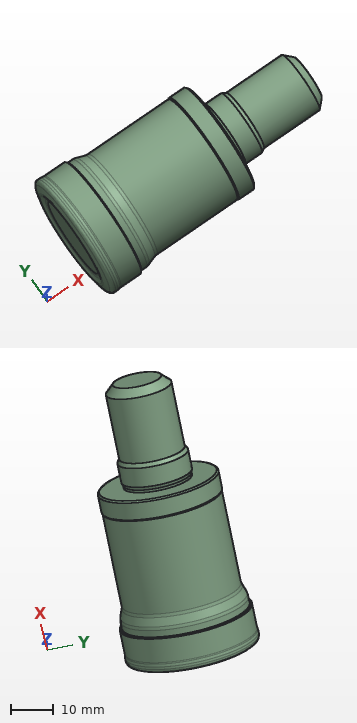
import cadquery as cq

total_length = 68.0

cap_length = 9.4
cap_radius = 31.75 / 2
cap_back_chamfer = 0.3
bead_radius = 32.0 / 2
bead_start = 1.6
bead_end = 2.25
bead_slope_end = 2.9
bead_slope_end_radius = 15.9
cap_straight_start = 3.25
shoulder_x = 0.55
shoulder_radius = 15.1
rim_x = 0.1
rim_outer_radius = 13.05
rim_middle_radius = 12.8
rim_inner_radius = 12.45
opening_radius = 10.2
lip_radius = 10.7
funnel_bottom_radius = 11.15
funnel_bottom_x = 0.55
lip_x = 0.7
face_x = 0.75
cap_wall_x = 1.7
skirt_radius = 14.3

barrel_radius = 28.6 / 2
band_radius = 30.7 / 2
taper_start = 11.5
taper_end = 14.35
taper_blend = 2.45
collar_radius = 29.0 / 2
barrel_end = 37.9
groove_width = 0.3
groove_depth = 0.2
collar_end = 42.85
collar_chamfer = 0.4

neck_radius = 8.2
neck_end = 43.45
seat_radius = 17.0 / 2
seat_start = 44.3
seat_end = 48.95
stud_radius = 15.8 / 2
stud_start = 50.0
stud_chamfer = 2.05


def revolve_about_x(profile):
    """Turn a closed half profile, drawn in X and radius, about the X axis."""
    return profile.close().revolve(360, (0, 0, 0), (1, 0, 0))


def make_cap():
    profile = (
        cq.Workplane("XY")
        .moveTo(cap_wall_x, opening_radius)
        .lineTo(face_x, opening_radius)
        .lineTo(lip_x, lip_radius)
        .lineTo(funnel_bottom_x, funnel_bottom_radius)
        .lineTo(rim_x, rim_inner_radius)
        .threePointArc((0, rim_middle_radius), (rim_x, rim_outer_radius))
        .lineTo(shoulder_x, shoulder_radius)
        .spline([(bead_start, bead_radius)], tangents=[(0.3, 1), (1, 0)], includeCurrent=True)
        .lineTo(bead_end, bead_radius)
        .lineTo(bead_slope_end, bead_slope_end_radius)
        .lineTo(cap_straight_start, cap_radius)
        .lineTo(cap_length - cap_back_chamfer, cap_radius)
        .lineTo(cap_length, cap_radius - cap_back_chamfer)
        .lineTo(cap_length, skirt_radius)
        .lineTo(cap_wall_x, skirt_radius)
    )
    return revolve_about_x(profile)


def make_housing():
    profile = (
        cq.Workplane("XY")
        .moveTo(face_x, 0)
        .lineTo(face_x, opening_radius)
        .lineTo(cap_wall_x, opening_radius)
        .lineTo(cap_wall_x, skirt_radius)
        .lineTo(cap_length, skirt_radius)
        .lineTo(cap_length, band_radius)
        .lineTo(taper_start, band_radius)
        .lineTo(taper_end, barrel_radius)
        .lineTo(barrel_end, barrel_radius)
        .lineTo(barrel_end, barrel_radius - groove_depth)
        .lineTo(barrel_end + groove_width, barrel_radius - groove_depth)
        .lineTo(barrel_end + groove_width, collar_radius)
        .lineTo(collar_end - collar_chamfer, collar_radius)
        .lineTo(collar_end, collar_radius - collar_chamfer)
        .lineTo(collar_end, neck_radius)
        .lineTo(neck_end, neck_radius)
        .lineTo(seat_start, seat_radius)
        .lineTo(seat_end, seat_radius)
        .lineTo(stud_start, stud_radius)
        .lineTo(total_length - stud_chamfer, stud_radius)
        .lineTo(total_length, stud_radius - stud_chamfer)
        .lineTo(total_length, 0)
    )
    body = revolve_about_x(profile)

    margin = 0.7
    reach = band_radius + margin
    taper_edges = cq.selectors.BoxSelector(
        (taper_start - margin, -reach, -reach),
        (taper_end + margin, reach, reach),
    )
    return body.edges(taper_edges).edges("%CIRCLE").fillet(taper_blend)


cap = make_cap()
housing = make_housing()

result = cq.Compound.makeCompound([cap.val(), housing.val()])